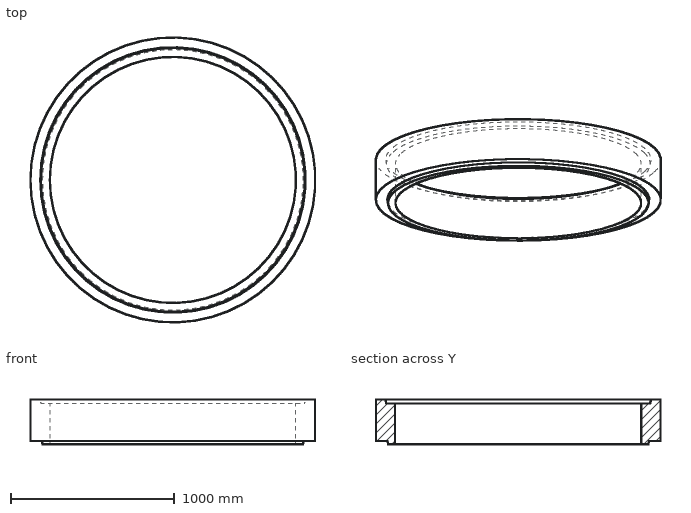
import cadquery as cq

outer_diameter = 1740.0
bore_diameter = 1500.0
total_height = 275.0
spigot_base_diameter = 1600.0
spigot_height = 20.0
socket_depth = 25.0
radial_clearance = 10.0
joint_taper = 5.0

outer_radius = outer_diameter / 2
bore_radius = bore_diameter / 2
spigot_base_radius = spigot_base_diameter / 2
spigot_tip_radius = spigot_base_radius - joint_taper
socket_mouth_radius = spigot_base_radius + radial_clearance
socket_floor_radius = socket_mouth_radius - joint_taper
socket_floor_z = total_height - socket_depth


def ring_section():
    """Radial section of the ring: tapered spigot below, tapered socket above."""
    outline = [
        (-bore_radius, 0),
        (-spigot_tip_radius, 0),
        (-spigot_base_radius, spigot_height),
        (-outer_radius, spigot_height),
        (-outer_radius, total_height),
        (-socket_mouth_radius, total_height),
        (-socket_floor_radius, socket_floor_z),
        (-bore_radius, socket_floor_z),
    ]
    return cq.Workplane("XZ").polyline(outline).close()


result = ring_section().revolve(360, (0, 0, 0), (0, 1, 0))